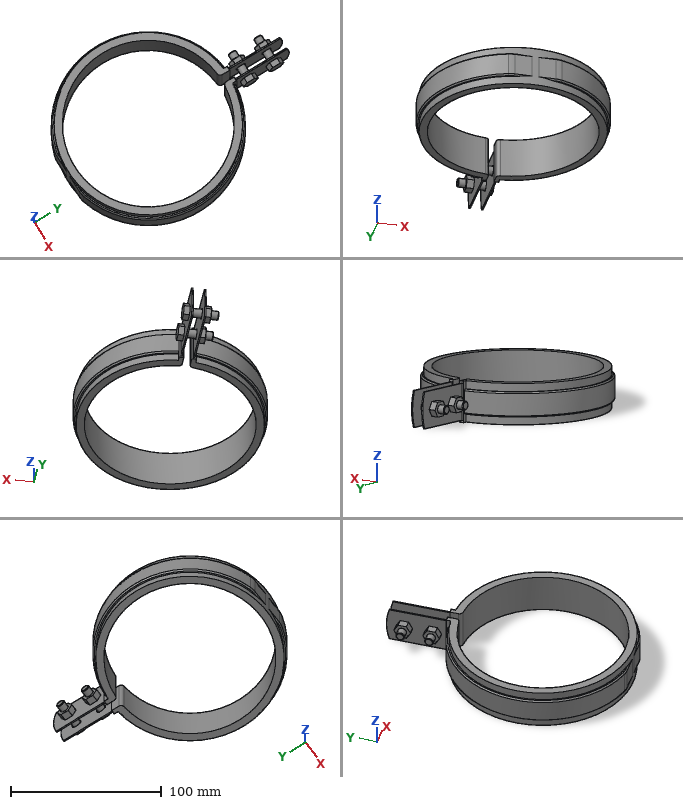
import cadquery as cq
import math

BORE_RADIUS = 57.0
RING_RADIUS = 62.5
RING_WIDTH = 28.0
END_GAP = 5.4
END_TOP = 65.3
END_THICKNESS = 3.2
END_FILLET = 2.5

BEAD_HEIGHT = 2.0
BEAD_WIDTH = 17.0
BEAD_CHAMFER = 1.0
BEAD_FLAT = 62.46
BEAD_FLAT_BLEND = 15.0

STRAP_THICKNESS = 1.0
STRAP_WIDTH = 25.0
EAR_TIP = 107.0
EAR_TIP_CROWN = 2.0
EAR_OUTER_X = 4.8

BOLT_POSITIONS = (74.5, 94.5)
BOLT_DIAMETER = 6.0
BOLT_TIP_DIAMETER = 4.92
BOLT_LENGTH = 20.0
BOLT_HOLE = 7.0
HEX_ACROSS_FLATS = 10.0
HEAD_HEIGHT = 4.0
NUT_HEIGHT = 5.0

bead_radius = RING_RADIUS + BEAD_HEIGHT
end_inner_x = END_GAP / 2
end_outer_x = end_inner_x + END_THICKNESS
ear_inner_x = EAR_OUTER_X - STRAP_THICKNESS
strap_outer_radius = RING_RADIUS - (end_outer_x - EAR_OUTER_X)
strap_inner_radius = strap_outer_radius - STRAP_THICKNESS
hex_corner_diameter = HEX_ACROSS_FLATS / math.cos(math.pi / 6)


def disc(radius, width):
    return cq.Workplane("XY").circle(radius).extrude(width / 2, both=True)


def block(x_half, y_low, y_high, width):
    """Box centred on X and Z, reaching from y_low to y_high."""
    box = cq.Workplane("XY").box(2 * x_half, y_high - y_low, width)
    return box.translate((0, (y_low + y_high) / 2, 0))


def make_bead():
    """Chamfered disc with a flat on its -Y side; the ring's bore removes its middle."""
    flat_cut = block(bead_radius, -2 * bead_radius, -BEAD_FLAT, RING_WIDTH)
    bead = disc(bead_radius, BEAD_WIDTH).cut(flat_cut)
    bead = bead.edges("|Z").edges("<Y").fillet(BEAD_FLAT_BLEND)
    return bead.faces("|Z").edges().chamfer(BEAD_CHAMFER)


def make_strap():
    """One sheet that runs around inside the ring and leaves it as two parallel ears."""
    band = disc(strap_outer_radius, STRAP_WIDTH)
    band = band.union(block(EAR_OUTER_X, 0, EAR_TIP, STRAP_WIDTH))
    band = band.cut(disc(strap_inner_radius, STRAP_WIDTH))
    band = band.cut(block(ear_inner_x, 0, EAR_TIP, STRAP_WIDTH))
    half_width = STRAP_WIDTH / 2
    shoulder = EAR_TIP - EAR_TIP_CROWN
    crowned = (
        cq.Workplane("YZ")
        .moveTo(-bead_radius, -half_width)
        .lineTo(shoulder, -half_width)
        .threePointArc((EAR_TIP, 0), (shoulder, half_width))
        .lineTo(-bead_radius, half_width)
        .close()
        .extrude(bead_radius, both=True)
    )
    holes = (
        cq.Workplane("YZ")
        .pushPoints([(y, 0) for y in BOLT_POSITIONS])
        .circle(BOLT_HOLE / 2)
        .extrude(EAR_OUTER_X, both=True)
    )
    return band.intersect(crowned).cut(holes)


def make_liner(strap):
    """Open rubber ring with its bead, moulded around the strap."""
    liner = disc(RING_RADIUS, RING_WIDTH).union(make_bead())
    liner = liner.union(block(end_outer_x, 0, END_TOP, RING_WIDTH))
    liner = liner.cut(disc(BORE_RADIUS, RING_WIDTH))
    liner = liner.cut(block(end_inner_x, 0, END_TOP, RING_WIDTH))
    corner_y = math.sqrt(BORE_RADIUS**2 - end_inner_x**2)
    for side in (-1, 1):
        corner = cq.selectors.NearestToPointSelector((side * end_inner_x, corner_y, 0))
        liner = liner.edges("|Z").edges(corner).fillet(END_FILLET)
    return liner.cut(strap)


def make_bolt(y):
    hex_plane = cq.Workplane("YZ", origin=(EAR_OUTER_X, y, 0))
    head = hex_plane.polygon(6, hex_corner_diameter).extrude(HEAD_HEIGHT)
    shank = hex_plane.circle(BOLT_DIAMETER / 2).extrude(-BOLT_LENGTH)
    shank = shank.faces("<X").chamfer((BOLT_DIAMETER - BOLT_TIP_DIAMETER) / 2)
    return head.union(shank)


def make_nut(y):
    return (
        cq.Workplane("YZ", origin=(-EAR_OUTER_X, y, 0))
        .polygon(6, hex_corner_diameter)
        .circle(BOLT_DIAMETER / 2)
        .extrude(-NUT_HEIGHT)
    )


strap = make_strap()
liner = make_liner(strap)
bolts = [make_bolt(y).val() for y in BOLT_POSITIONS]
nuts = [make_nut(y).val() for y in BOLT_POSITIONS]
result = cq.Compound.makeCompound([liner.val(), strap.val(), *bolts, *nuts])